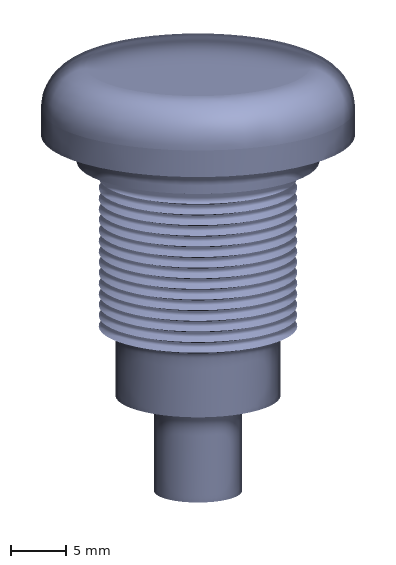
import cadquery as cq

total_height = 40.0
knob_diameter = 28.5

pin_diameter = 8.0
pin_length = 9.0

nose_diameter = 15.0
nose_length = 6.0
thread_crest_diameter = 18.0
thread_root_diameter = 14.9
thread_pitch = 1.0
thread_count = 16
collar_diameter = 22.0

knob_rounding = 4.0

thread_length = thread_count * thread_pitch
nose_bottom = pin_length
thread_bottom = nose_bottom + nose_length
collar_bottom = thread_bottom + thread_length
collar_height = (total_height - collar_bottom - knob_rounding) / 2
knob_bottom = collar_bottom + collar_height
knob_height = total_height - knob_bottom


def make_pin():
    """Plain pin that meets the lower end of the nose."""
    return cq.Workplane("XY").circle(pin_diameter / 2).extrude(pin_length)


def make_threaded_body():
    """Revolved nose, ring-shaped thread ridges and collar."""
    root_radius = thread_root_diameter / 2
    crest_radius = thread_crest_diameter / 2
    profile = (
        cq.Workplane("XZ")
        .moveTo(0, nose_bottom)
        .lineTo(nose_diameter / 2, nose_bottom)
        .lineTo(nose_diameter / 2, thread_bottom)
        .lineTo(root_radius, thread_bottom)
    )
    for ridge in range(thread_count):
        ridge_bottom = thread_bottom + ridge * thread_pitch
        profile = profile.lineTo(crest_radius, ridge_bottom + thread_pitch / 2)
        profile = profile.lineTo(root_radius, ridge_bottom + thread_pitch)
    profile = (
        profile.lineTo(collar_diameter / 2, collar_bottom)
        .lineTo(collar_diameter / 2, knob_bottom)
        .lineTo(0, knob_bottom)
        .close()
    )
    return profile.revolve(360, (0, 0, 0), (0, 1, 0))


def make_knob():
    """Round knob with a large rounding on its top edge."""
    knob = cq.Workplane("XY", origin=(0, 0, knob_bottom)).circle(knob_diameter / 2).extrude(knob_height)
    return knob.faces(">Z").edges().fillet(knob_rounding)


pin = make_pin()
threaded_body = make_threaded_body()
knob = make_knob()

result = cq.Compound.makeCompound([pin.val(), threaded_body.val(), knob.val()])